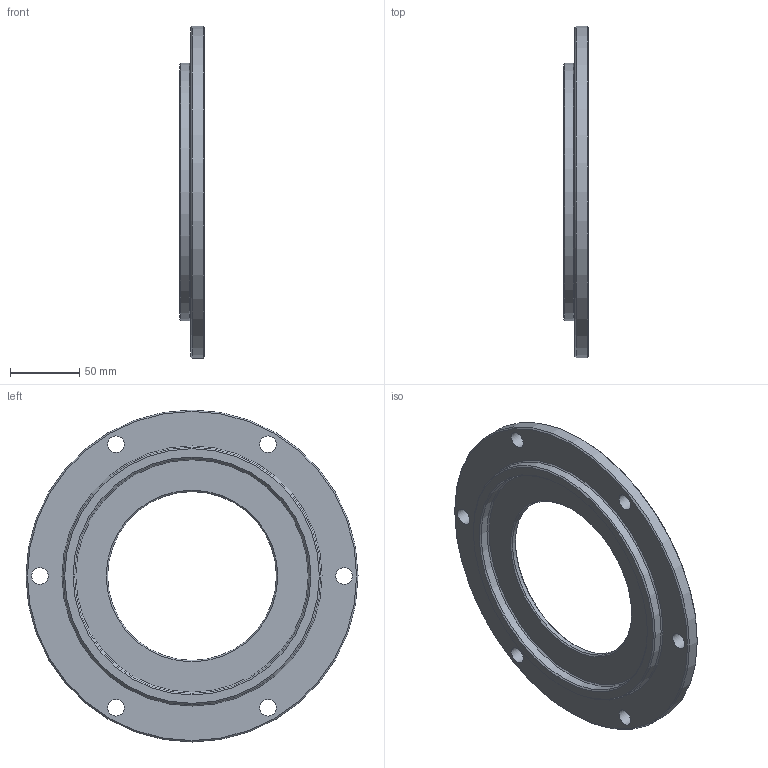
import cadquery as cq

flange_diameter = 240.0
flange_thickness = 10.0
spigot_diameter = 186.0
spigot_height = 8.0
recess_diameter = 170.0
recess_depth = spigot_height
bore_diameter = 122.0
lip_thickness = 5.0
counterbore_diameter = 146.0
hole_diameter = 12.0
hole_count = 6
hole_circle_diameter = 220.0
chamfer_size = 1.0

flange_front = -flange_thickness
spigot_front = flange_front - spigot_height
recess_floor = spigot_front + recess_depth
lip_rear = recess_floor + lip_thickness

selection_margin = 0.01


def disc(diameter, x_start, x_end):
    """Solid cylinder about the X axis between two axial positions."""
    return cq.Workplane("YZ", origin=(x_start, 0, 0)).circle(diameter / 2).extrude(x_end - x_start)


def edges_within(half_side, x):
    """Selects edges lying fully inside a thin square slab centred on the X axis at position x."""
    low_corner = (x - selection_margin, -half_side, -half_side)
    high_corner = (x + selection_margin, half_side, half_side)
    return cq.selectors.BoxSelector(low_corner, high_corner, boundingbox=True)


def circular_edge(body, diameter, x):
    """The circular edge of the given diameter lying at the axial position x."""
    larger = edges_within(diameter / 2 + selection_margin, x)
    smaller = edges_within(diameter / 2 - selection_margin, x)
    return body.edges(larger - smaller)


def make_ring():
    """Flange with a raised spigot, a recess in the spigot, a central bore and a rear counterbore."""
    flange = disc(flange_diameter, flange_front, 0)
    spigot = disc(spigot_diameter, spigot_front, flange_front)
    recess = disc(recess_diameter, spigot_front, recess_floor)
    bore = disc(bore_diameter, spigot_front, 0)
    counterbore = disc(counterbore_diameter, lip_rear, 0)
    return flange.union(spigot).cut(recess).cut(bore).cut(counterbore)


def chamfer_edges(body):
    """Bevel the front inside corners and every outside edge of the ring."""
    inside_corners = [
        (spigot_diameter, flange_front),
        (recess_diameter, recess_floor),
    ]
    outside_edges = [
        (flange_diameter, flange_front),
        (flange_diameter, 0),
        (spigot_diameter, spigot_front),
        (recess_diameter, spigot_front),
        (bore_diameter, recess_floor),
        (bore_diameter, lip_rear),
        (counterbore_diameter, 0),
    ]
    for diameter, x in inside_corners + outside_edges:
        body = circular_edge(body, diameter, x).chamfer(chamfer_size)
    return body


def drill_bolt_holes(body):
    """Through holes equally spaced on the bolt circle, two of them on the Y axis."""
    holes = (
        cq.Workplane("YZ", origin=(flange_front, 0, 0))
        .polarArray(hole_circle_diameter / 2, 0, 360, hole_count)
        .circle(hole_diameter / 2)
        .extrude(flange_thickness)
    )
    return body.cut(holes)


result = drill_bolt_holes(chamfer_edges(make_ring()))